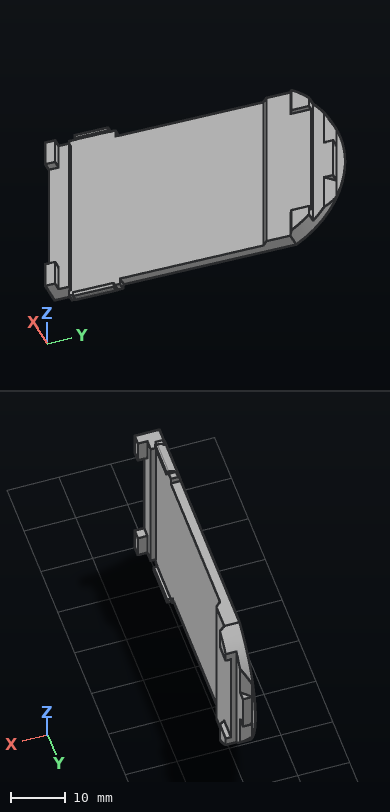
import cadquery as cq
import math

length = 57.1
plate_height = 32.8
plate_thickness = 1.95
shoulder_y = 47.45
half_height = plate_height / 2

bar_thickness = 2.95
base_bar_end = 3.95
base_pad_thickness = 4.8
base_pad_end = 1.95
pad_height = 4.95
far_bar_start = 42.75
far_bar_ramp = 1.0
far_pad_thickness = 4.0
far_pad_start = 48.05
far_pad_end = 51.5

lip_thickness = 0.15
undercut_y = 55.4
tab_width = 8.0

catch_start = 3.6
catch_height = 2.05
catch_top = {"end": 12.7, "hook_start": 4.8, "hook_end": 11.4,
             "hook_base": 1.35, "hook_reach": 2.4}
catch_bottom = {"end": 13.6, "hook_start": 4.6, "hook_end": 12.55,
                "hook_base": 1.2, "hook_reach": 2.6}


def outline_prism(thickness):
    """Plate outline with one round end, extruded along +X."""
    return (
        cq.Workplane("YZ")
        .moveTo(0, -half_height)
        .lineTo(shoulder_y, -half_height)
        .threePointArc((length, 0), (shoulder_y, half_height))
        .lineTo(0, half_height)
        .close()
        .extrude(thickness)
    )


def profile_along_z(points, z_low, z_high):
    """Closed XY profile extruded between two heights."""
    return cq.Workplane("XY").workplane(offset=z_low).polyline(points).close().extrude(z_high - z_low)


def box(x_range, y_range, z_range):
    """Box given by its limits along each axis."""
    sizes = [high - low for low, high in (x_range, y_range, z_range)]
    corner = (x_range[0], y_range[0], z_range[0])
    return cq.Workplane("XY").box(*sizes, centered=False).translate(corner)


def inner_relief():
    """Bars across the full height and pads in the corners, trimmed to the outline."""
    base_bar = box((0, bar_thickness), (0, base_bar_end), (-half_height, half_height))
    far_bar = profile_along_z(
        [
            (0, far_bar_start - far_bar_ramp),
            (plate_thickness, far_bar_start - far_bar_ramp),
            (bar_thickness, far_bar_start),
            (bar_thickness, far_pad_end),
            (0, far_pad_end),
        ],
        -half_height,
        half_height,
    )
    relief = base_bar.union(far_bar)
    for z_low in (-half_height, half_height - pad_height):
        z_high = z_low + pad_height
        base_pad = box((0, base_pad_thickness), (0, base_pad_end), (z_low, z_high))
        far_pad = profile_along_z(
            [
                (0, shoulder_y),
                (bar_thickness, shoulder_y),
                (far_pad_thickness, far_pad_start),
                (far_pad_thickness, far_pad_end),
                (0, far_pad_end),
            ],
            z_low,
            z_high,
        )
        relief = relief.union(base_pad).union(far_pad)
    return relief.intersect(outline_prism(base_pad_thickness))


def tip_undercut():
    """45 degree undercut behind a thin lip, interrupted by a central tab."""
    slope_drop = plate_thickness - lip_thickness
    bevel = profile_along_z(
        [
            (lip_thickness, undercut_y),
            (plate_thickness, undercut_y - slope_drop),
            (plate_thickness, length),
            (lip_thickness, length),
        ],
        -half_height,
        half_height,
    )
    tab = box(
        (lip_thickness, plate_thickness),
        (undercut_y - slope_drop, undercut_y),
        (-tab_width / 2, tab_width / 2),
    )
    return bevel.cut(tab)


def edge_catch(spec):
    """Rounded snap catch standing on the upper long edge."""
    radius = (plate_thickness**2 + catch_height**2) / (2 * plate_thickness)
    half_sweep = math.asin(catch_height / radius) / 2
    arc_mid = (radius * (1 - math.cos(half_sweep)), radius * math.sin(half_sweep))
    arc_end = (plate_thickness, catch_height)
    hook_length = spec["hook_end"] - spec["hook_start"]
    hook = (
        cq.Workplane("XZ", origin=(0, spec["hook_start"], half_height))
        .moveTo(0, 0)
        .threePointArc(arc_mid, arc_end)
        .lineTo(spec["hook_reach"], catch_height)
        .lineTo(spec["hook_reach"], spec["hook_base"])
        .lineTo(plate_thickness, spec["hook_base"])
        .lineTo(plate_thickness, 0)
        .close()
        .extrude(-hook_length)
    )
    base = (
        cq.Workplane("XZ", origin=(0, catch_start, half_height))
        .moveTo(0, 0)
        .threePointArc(arc_mid, arc_end)
        .lineTo(plate_thickness, 0)
        .close()
        .extrude(-(spec["end"] - catch_start))
    )
    base_limit = box(
        (0, plate_thickness),
        (catch_start, spec["end"]),
        (half_height, half_height + spec["hook_base"]),
    )
    return hook.union(base.intersect(base_limit))


result = (
    outline_prism(plate_thickness)
    .union(inner_relief())
    .cut(tip_undercut())
    .union(edge_catch(catch_top))
    .union(edge_catch(catch_bottom).mirror("XY"))
)